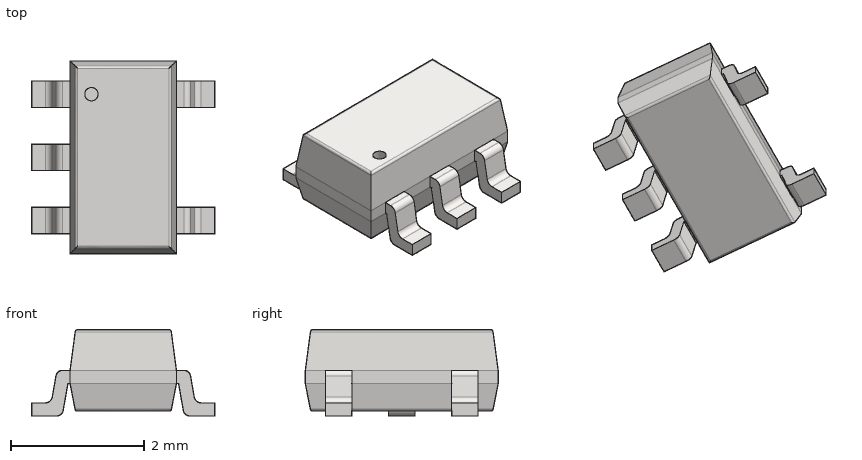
import cadquery as cq
import math

BODY_WIDTH = 1.6
BODY_LENGTH = 2.9
BODY_BOTTOM = 0.072
BODY_TOP = 1.3
BAND_TOP = 0.687
TAPER_INSET = 0.08
EDGE_RADIUS = 0.04

LEAD_SPAN = 2.75
LEAD_WIDTH = 0.4
LEAD_THICKNESS = 0.2
LEAD_PITCH = 0.948
LEAD_TILT = 10.0
BEND_RADIUS = 0.102
SHOULDER_CORNER = 0.998

MARK_DIAMETER = 0.2
MARK_DEPTH = MARK_DIAMETER
MARK_X = -0.478
MARK_Y = LEAD_PITCH

BAND_BOTTOM = BAND_TOP - LEAD_THICKNESS


def tapered_block(start_z, end_z):
    """Frustum from the band outline at start_z to the inset outline at end_z."""
    return (
        cq.Workplane("XY", origin=(0, 0, start_z))
        .rect(BODY_WIDTH, BODY_LENGTH)
        .workplane(offset=end_z - start_z)
        .rect(BODY_WIDTH - 2 * TAPER_INSET, BODY_LENGTH - 2 * TAPER_INSET)
        .loft(ruled=True)
    )


def make_housing():
    band = cq.Workplane("XY", origin=(0, 0, BAND_BOTTOM)).box(
        BODY_WIDTH, BODY_LENGTH, LEAD_THICKNESS, centered=(True, True, False)
    )
    upper = tapered_block(BAND_TOP, BODY_TOP).faces(">Z").edges().fillet(EDGE_RADIUS)
    lower = tapered_block(BAND_BOTTOM, BODY_BOTTOM).faces("<Z").edges().fillet(EDGE_RADIUS)
    mark = (
        cq.Workplane("XY", origin=(MARK_X, MARK_Y, BODY_TOP - MARK_DEPTH))
        .circle(MARK_DIAMETER / 2)
        .extrude(MARK_DEPTH)
    )
    return band.union(upper).union(lower).cut(mark)


def make_lead(side, y):
    """Gull-wing lead touching the housing wall; side is -1 for -X, +1 for +X."""
    tilt = math.radians(LEAD_TILT)
    leg_width = LEAD_THICKNESS / math.cos(tilt)

    def outer_x(z):
        return SHOULDER_CORNER + (BAND_TOP - z) * math.tan(tilt)

    def inner_x(z):
        return outer_x(z) - leg_width

    wall_x = BODY_WIDTH / 2
    toe_x = LEAD_SPAN / 2
    profile = [
        (wall_x, BAND_TOP),
        (outer_x(BAND_TOP), BAND_TOP),
        (outer_x(LEAD_THICKNESS), LEAD_THICKNESS),
        (toe_x, LEAD_THICKNESS),
        (toe_x, 0),
        (inner_x(0), 0),
        (inner_x(BAND_BOTTOM), BAND_BOTTOM),
        (wall_x, BAND_BOTTOM),
    ]
    rounded_corners = [profile[1], profile[2], profile[5]]

    lead = (
        cq.Workplane("XZ", origin=(0, y, 0))
        .polyline([(side * x, z) for x, z in profile])
        .close()
        .extrude(LEAD_WIDTH / 2, both=True)
    )
    for x, z in rounded_corners:
        corner = cq.selectors.NearestToPointSelector((side * x, y, z))
        lead = lead.edges("|Y").edges(corner).fillet(BEND_RADIUS)
    return lead


housing = make_housing()

lead_rows = {-1: (-1, 0, 1), 1: (-1, 1)}
leads = []
for side, rows in lead_rows.items():
    for row in rows:
        leads.append(make_lead(side, row * LEAD_PITCH))

result = cq.Compound.makeCompound([housing.val(), *[lead.val() for lead in leads]])